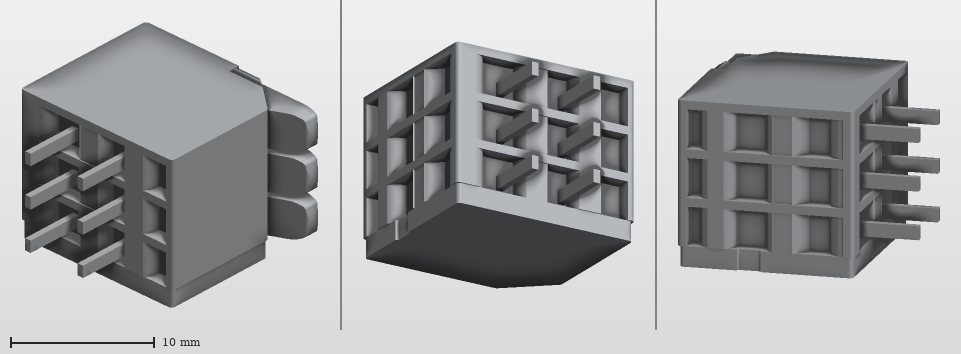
import cadquery as cq
import math

HALF_DIAGONAL = math.sqrt(0.5)

body_width = 14.5
body_depth = 12.72
total_height = 12.0
base_height = 1.5
base_inset = 0.125
base_front_inset = 0.1
corner_radius = 0.3

bevel_width = 3.59
bevel_angle = math.radians(40)
bevel_depth = bevel_width * math.tan(bevel_angle)

pole_count = 3
pole_pitch = 3.5
window_height = 2.87

front_pocket_depth = 1.2
side_pocket_depth = 1.15
foot_radius = 0.13
lip_radius = 0.15

front_pockets = [
    (1.5, 1.05, 0.37, 5.64),
    (7.4, 0.37, 0.37, 9.97),
    (11.72, 0.41, 0, 13.92),
]
front_strip = (5.64, 7.4)

side_pockets = [
    (0.63, 0, 0.69, 2.2),
    (3.32, 0.69, 0.56, 6.83),
]
side_strip = (6.83, 8.28)

ramp_pocket_start = side_strip[1]
ramp_pocket_end = 11.95
ramp_knee = (0.25, 0.23)
ramp_foot = 0.94
ramp_pocket_round = side_pocket_depth - lip_radius

base_recess_start = 4.26
base_recess_end = 5.96
base_recess_depth = 0.19

pin_width = 0.52
pin_height = 1.0
overall_depth = 16.35
pin_length = overall_depth - body_depth
pin_embed = 0.13
pin_bottom = 2.06
pin_lefts = (3.88, 8.9)

lever_bottom = 1.32
lever_height = 3.1
lever_end = 16.58
lever_root = 10.0
lever_tip = (13.75, 2.4)
lever_nose_depth = 1.15
lever_corner_radius = 0.25
lever_tip_radius = 0.25
lever_top = lever_bottom + lever_height
lever_middle = lever_bottom + lever_height / 2

lever_slope_start = 15.17
lever_slope_mid = (15.65, 0.05)
lever_slope_end = (16.1, 0.21)
lever_side_mid = (16.33, 0.34)
lever_side_end = (16.44, 0.6)

notch_start = 8.9
notch_profile = [
    (1.0, 0.25),
    (0.87, 0.34),
    (0.7, 0.34),
    (0.57, 0.24),
    (0.48, 0.1),
    (0.36, 0.06),
    (0.11, 0.2),
    (0.0, 0.22),
]


def on_front(along, depth):
    """Front face position to X, Y."""
    return (along, depth)


def on_side(along, depth):
    """Left face position to X, Y; 'along' runs from the rear face toward -Y."""
    return (depth, body_depth - along)


def housing_outline(left, front, right, rear):
    """Rectangle with the rear right corner bevelled."""
    inset = body_width - right
    shift = inset * (1 - math.cos(bevel_angle)) / math.sin(bevel_angle)
    drop = inset * (1 - math.sin(bevel_angle)) / math.cos(bevel_angle)
    return (
        cq.Workplane("XY")
        .moveTo(left, front)
        .lineTo(right, front)
        .lineTo(right, body_depth - bevel_depth - drop)
        .lineTo(body_width - bevel_width - shift, rear)
        .lineTo(left, rear)
        .close()
    )


def make_housing():
    """Upper body on a slightly inset base, both with rounded vertical edges."""
    upper = housing_outline(0, 0, body_width, body_depth).extrude(total_height - base_height)
    upper = upper.edges("|Z").fillet(corner_radius)
    upper = upper.translate((0, 0, base_height))
    base = housing_outline(
        base_inset, base_front_inset, body_width - base_inset, body_depth - base_inset
    ).extrude(base_height)
    base = base.edges("|Z").fillet(corner_radius)
    return upper.union(base)


def flank_points(mouth, width, direction, depth):
    """Mid and end points of a convex flank that meets the depth direction at its foot."""
    rise = depth - foot_radius
    foot = mouth + direction * width
    if width == 0:
        return (mouth, rise / 2), (foot, rise)
    radius = (width**2 + rise**2) / (2 * width)
    half_angle = math.asin(rise / radius) / 2
    mid = foot - direction * radius * (1 - math.cos(half_angle))
    return (mid, rise - radius * math.sin(half_angle)), (foot, rise)


def foot_points(foot, direction, depth):
    """Mid and end points of the concave round between a flank and the pocket floor."""
    offset = foot_radius * (1 - HALF_DIAGONAL)
    return (foot + direction * offset, depth - offset), (foot + direction * foot_radius, depth)


def make_pocket(place, depth, pocket):
    """Cutter for one window; a flank of zero width is a straight wall."""
    start, start_width, end_width, end = pocket
    flank_a_mid, flank_a_end = flank_points(start, start_width, 1, depth)
    foot_a_mid, foot_a_end = foot_points(start + start_width, 1, depth)
    flank_b_mid, flank_b_end = flank_points(end, end_width, -1, depth)
    foot_b_mid, foot_b_end = foot_points(end - end_width, -1, depth)

    outline = cq.Workplane("XY", origin=(0, 0, base_height)).moveTo(*place(start, 0))
    if start_width == 0:
        outline = outline.lineTo(*place(*flank_a_end))
    else:
        outline = outline.threePointArc(place(*flank_a_mid), place(*flank_a_end))
    outline = outline.threePointArc(place(*foot_a_mid), place(*foot_a_end))
    outline = outline.lineTo(*place(*foot_b_end))
    outline = outline.threePointArc(place(*foot_b_mid), place(*flank_b_end))
    if end_width == 0:
        outline = outline.lineTo(*place(end, 0))
    else:
        outline = outline.threePointArc(place(*flank_b_mid), place(end, 0))
    return outline.close().extrude(window_height)


def make_ramp_pocket():
    """Side pocket with a sloped rear wall and a full quarter round at its front."""
    depth = side_pocket_depth
    start = ramp_pocket_start
    round_end = ramp_pocket_end - lip_radius
    round_start = round_end - ramp_pocket_round
    bulge = ramp_pocket_round * HALF_DIAGONAL
    lip = lip_radius * HALF_DIAGONAL
    return (
        cq.Workplane("XY", origin=(0, 0, base_height))
        .moveTo(*on_side(start, 0))
        .lineTo(*on_side(start + ramp_knee[0], ramp_knee[1]))
        .lineTo(*on_side(start + ramp_foot, depth))
        .lineTo(*on_side(round_start, depth))
        .threePointArc(on_side(round_end - bulge, depth - bulge), on_side(round_end, lip_radius))
        .threePointArc(on_side(round_end + lip, lip), on_side(ramp_pocket_end, 0))
        .close()
        .extrude(window_height)
    )


def make_box(corner_a, corner_b, bottom, height):
    """Upright block between two opposite plan corners."""
    return (
        cq.Workplane("XY", origin=(0, 0, bottom))
        .moveTo(*corner_a)
        .lineTo(corner_b[0], corner_a[1])
        .lineTo(*corner_b)
        .lineTo(corner_a[0], corner_b[1])
        .close()
        .extrude(height)
    )


def make_strip(place, depth, strip):
    """Shallow recess that joins two neighbouring pockets."""
    return make_box(place(strip[0], 0), place(strip[1], depth), base_height, window_height)


def make_base_recess():
    """Shallow recess in the left side of the base with rounded inner corners."""
    recess = make_box(
        on_side(base_recess_start, 0),
        on_side(base_recess_end, base_inset + base_recess_depth),
        0,
        base_height,
    )
    return recess.edges("|Z and >X").fillet(base_recess_depth)


def make_notch():
    """Ribbed cut that runs along X to the bevel at the top of the rear face."""
    points = [(body_depth - back, total_height - drop) for back, drop in notch_profile]
    back_edge = points[0][0]
    return (
        cq.Workplane("YZ", origin=(notch_start, 0, 0))
        .moveTo(back_edge, total_height)
        .polyline(points, includeCurrent=True)
        .lineTo(body_depth, total_height)
        .close()
        .extrude(body_width - notch_start)
    )


def make_pin(left):
    """Pin that enters the floor of a front pocket and sticks out of the front face."""
    inner_end = front_pocket_depth + pin_embed
    return make_box((left, -pin_length), (left + pin_width, inner_end), pin_bottom, pin_height)


def below_top(point):
    """Lever end position measured down from the lever's top, to X, Z."""
    return (point[0], lever_top - point[1])


def above_bottom(point):
    """Lever end position measured up from the lever's bottom, to X, Z."""
    return (point[0], lever_bottom + point[1])


def make_lever():
    """Intersection of the lever's plan outline and its rounded end profile."""
    tip_x, tip_depth = lever_tip
    plan = (
        cq.Workplane("XY")
        .moveTo(lever_root, body_depth)
        .lineTo(lever_end, body_depth)
        .lineTo(lever_end, body_depth - lever_nose_depth)
        .lineTo(tip_x, body_depth - tip_depth)
        .close()
        .extrude(total_height)
    )
    plan = plan.edges("|Z and >X").fillet(lever_corner_radius)
    plan = plan.edges("|Z and <Y").fillet(lever_tip_radius)
    profile = (
        cq.Workplane("XZ")
        .moveTo(lever_root, lever_top)
        .lineTo(lever_slope_start, lever_top)
        .threePointArc(below_top(lever_slope_mid), below_top(lever_slope_end))
        .threePointArc(below_top(lever_side_mid), below_top(lever_side_end))
        .threePointArc((lever_end, lever_middle), above_bottom(lever_side_end))
        .threePointArc(above_bottom(lever_side_mid), above_bottom(lever_slope_end))
        .threePointArc(above_bottom(lever_slope_mid), (lever_slope_start, lever_bottom))
        .lineTo(lever_root, lever_bottom)
        .close()
        .extrude(-body_depth)
    )
    return plan.intersect(profile)


cutters = [make_pocket(on_front, front_pocket_depth, pocket) for pocket in front_pockets]
cutters += [make_pocket(on_side, side_pocket_depth, pocket) for pocket in side_pockets]
cutters += [
    make_ramp_pocket(),
    make_strip(on_front, base_front_inset, front_strip),
    make_strip(on_side, base_inset, side_strip),
]

result = make_housing().cut(make_base_recess()).cut(make_notch())
for index in range(pole_count):
    lift = (0, 0, index * pole_pitch)
    for cutter in cutters:
        result = result.cut(cutter.translate(lift))
    result = result.union(make_lever().translate(lift))
    for pin_left in pin_lefts:
        result = result.union(make_pin(pin_left).translate(lift))